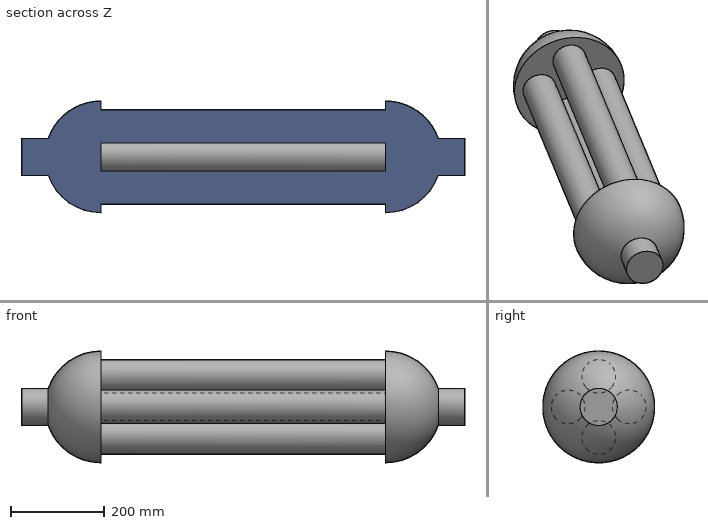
import cadquery as cq

total_length = 950.0
dome_diameter = 240.0
stub_diameter = 80.0
rod_diameter = 72.0
rod_circle_radius = 66.0
rod_count = 4
rod_length = 610.0

dome_radius = dome_diameter / 2
dome_face_x = rod_length / 2


def cylinder_along_x(diameter, start_x, end_x):
    """Solid cylinder on the X axis between two X positions."""
    return cq.Workplane("YZ", origin=(start_x, 0, 0)).circle(diameter / 2).extrude(end_x - start_x)


def make_end_cap():
    """Half-ball at the +X end, flat side towards the rods, with its stub."""
    dome = (
        cq.Workplane("XY")
        .moveTo(dome_face_x, 0)
        .lineTo(dome_face_x, dome_radius)
        .radiusArc((dome_face_x + dome_radius, 0), dome_radius)
        .close()
        .revolve(360, (0, 0, 0), (1, 0, 0))
    )
    stub = cylinder_along_x(stub_diameter, dome_face_x, total_length / 2)
    return dome.union(stub)


def make_rods():
    """Rods evenly spaced on a circle, joining the two flat dome faces."""
    return (
        cq.Workplane("YZ", origin=(-dome_face_x, 0, 0))
        .polarArray(rod_circle_radius, 0, 360, rod_count)
        .circle(rod_diameter / 2)
        .extrude(rod_length)
    )


end_cap = make_end_cap()
result = make_rods().union(end_cap).union(end_cap.mirror("YZ"))